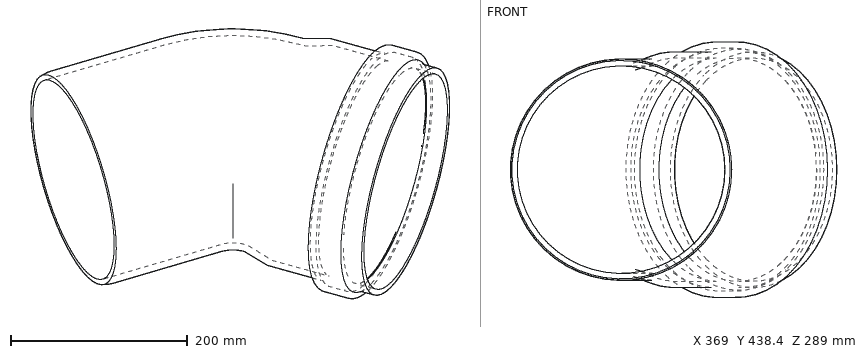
import cadquery as cq
import math

pipe_radius = 250.0 / 2
bore_radius = 234.5 / 2
pipe_length = 145.5
bevel_length = 8.5
bevel_depth = 1.8
bend_radius = 118.0
bend_angle = 45

socket_radius = 266.5 / 2
socket_bore_radius = 252.5 / 2
bead_radius = 289 / 2
groove_radius = 274.5 / 2
shoulder_radius = 136.0
bead_round = 4.0
bead_root_round = 2.5
lip_root_round = 2.0
groove_round = 2.0
collar_end = 4.0
cone_end = 34.0
bore_collar_end = 6.0
bore_cone_end = 38.0
socket_length = 163.0
lip_length = 18.0
bead_length = 37.5
bead_setback = 24.0
bead_end = socket_length - bead_setback
bead_start = bead_end - bead_length
lip_start = socket_length - lip_length
groove_start = bead_start + bead_radius - groove_radius
groove_setback = 6.0
groove_end = bead_end - groove_setback
groove_taper = 3.5

angle = math.radians(bend_angle)
bend_end_x = bend_radius * (1 - math.cos(angle))
bend_end_y = pipe_length + bend_radius * math.sin(angle)
socket_plane = cq.Plane(
    origin=(bend_end_x, bend_end_y, 0),
    xDir=(math.cos(angle), -math.sin(angle), 0),
    normal=(math.sin(angle), math.cos(angle), 0),
)
pipe_plane = cq.Plane(origin=(0, 0, 0), xDir=(1, 0, 0), normal=(0, 1, 0))


def turned(plane, profile):
    """Solid of revolution about the plane normal from (radius, station) pairs."""
    sections = [(0, profile[0][1])] + profile + [(0, profile[-1][1])]
    axial_plane = cq.Plane(origin=plane.origin, xDir=plane.xDir, normal=plane.yDir.multiply(-1))
    return cq.Workplane(axial_plane).polyline(sections).close().revolve(360, (0, 0), (0, 1))


def rounded(body, radius, station, round_radius):
    """Fillet the circular socket edge of the given radius at the given station."""
    tolerance = 0.05

    def is_wanted(edge):
        if edge.geomType() != "CIRCLE":
            return False
        edge_station = socket_plane.toLocalCoords(edge.arcCenter()).z
        return abs(edge.radius() - radius) < tolerance and abs(edge_station - station) < tolerance

    return body.edges().filter(is_wanted).fillet(round_radius)


def bend(radius):
    """Elbow of round section, trimmed at the bend axis where the section crosses it."""
    section_plane = cq.Workplane("XZ", origin=(0, pipe_length, 0))
    if radius <= bend_radius:
        section = section_plane.circle(radius)
    else:
        half_chord = math.sqrt(radius**2 - bend_radius**2)
        section = (
            section_plane.moveTo(bend_radius, half_chord)
            .threePointArc((-radius, 0), (bend_radius, -half_chord))
            .close()
        )
    return section.revolve(bend_angle, (bend_radius, 4.5), (bend_radius, 0))


def outer_body():
    pipe = turned(pipe_plane, [
        (pipe_radius - bevel_depth, 0),
        (pipe_radius, bevel_length),
        (pipe_radius, pipe_length),
    ])
    socket = turned(socket_plane, [
        (pipe_radius, 0),
        (pipe_radius, collar_end),
        (socket_radius, cone_end),
        (socket_radius, bead_start),
        (bead_radius, bead_start),
        (bead_radius, bead_end),
        (shoulder_radius, bead_end),
        (socket_radius, lip_start),
        (socket_radius, socket_length),
    ])
    socket = rounded(socket, bead_radius, bead_start, bead_round)
    socket = rounded(socket, bead_radius, bead_end, bead_round)
    socket = rounded(socket, socket_radius, bead_start, bead_root_round)
    socket = rounded(socket, socket_radius, lip_start, lip_root_round)
    return pipe.union(bend(pipe_radius)).union(socket)


def inner_passage():
    pipe_bore = turned(pipe_plane, [(bore_radius, 0), (bore_radius, pipe_length)])
    socket_bore = turned(socket_plane, [
        (bore_radius, 0),
        (bore_radius, bore_collar_end),
        (socket_bore_radius, bore_cone_end),
        (socket_bore_radius, groove_start),
        (groove_radius, groove_start),
        (groove_radius, groove_end),
        (socket_bore_radius, groove_end + groove_taper),
        (socket_bore_radius, socket_length),
    ])
    for radius in (groove_radius, socket_bore_radius):
        socket_bore = rounded(socket_bore, radius, groove_start, groove_round)
    socket_bore = rounded(socket_bore, groove_radius, groove_end, groove_round)
    socket_bore = rounded(socket_bore, socket_bore_radius, groove_end + groove_taper, groove_round)
    return pipe_bore.union(bend(bore_radius)).union(socket_bore)


result = outer_body().cut(inner_passage())